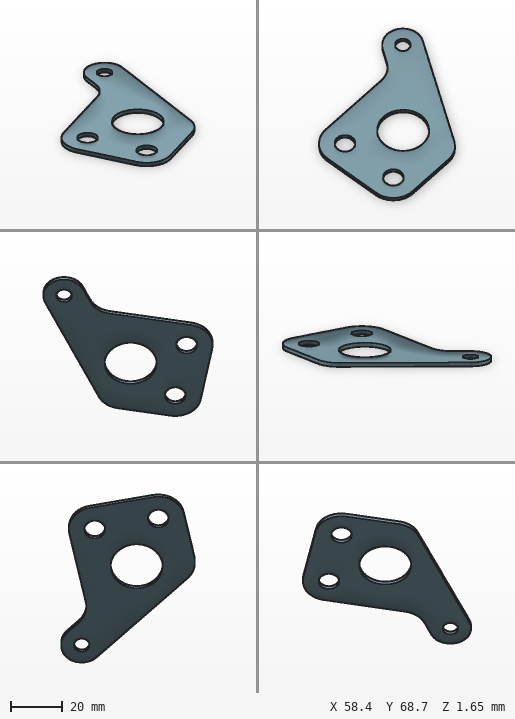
import cadquery as cq
import math

thickness = 1.65
body_width = 45.0
corner_radius = 10.0
bore_diameter = 20.0
mount_hole_diameter = 8.0
mount_hole_y = -19.65
shoulder_y = 0.95
tab_x = -27.9
tab_y = 31.05
tab_radius = 8.0
tab_hole_diameter = 6.0

half_width = body_width / 2
bottom_y = mount_hole_y - corner_radius
corner_x = half_width - corner_radius

shoulder_dx = corner_x - tab_x
shoulder_dy = shoulder_y - tab_y
centre_distance = math.hypot(shoulder_dx, shoulder_dy)
slope_normal = math.atan2(shoulder_dy, shoulder_dx) + math.acos(
    (tab_radius - corner_radius) / centre_distance
)

neck_x = -half_width - corner_radius
neck_y = tab_y - (
    tab_radius + corner_radius + (neck_x - tab_x) * math.cos(slope_normal)
) / math.sin(slope_normal)


def on_circle(x, y, radius, angle):
    """Point on a circle at an angle in radians."""
    return (x + radius * math.cos(angle), y + radius * math.sin(angle))


def corner_middle(x, y, degrees):
    """Middle point of a rounded bottom corner."""
    return on_circle(x, y, corner_radius, math.radians(degrees))


def make_plate():
    def tab_point(angle):
        return on_circle(tab_x, tab_y, tab_radius, angle)

    def shoulder_point(angle):
        return on_circle(corner_x, shoulder_y, corner_radius, angle)

    def neck_point(angle):
        return on_circle(neck_x, neck_y, corner_radius, angle)

    return (
        cq.Workplane("XY")
        .moveTo(-corner_x, bottom_y)
        .lineTo(corner_x, bottom_y)
        .threePointArc(corner_middle(corner_x, mount_hole_y, -45), (half_width, mount_hole_y))
        .lineTo(half_width, shoulder_y)
        .threePointArc(shoulder_point(slope_normal / 2), shoulder_point(slope_normal))
        .lineTo(*tab_point(slope_normal))
        .threePointArc(tab_point(slope_normal + math.pi / 2), tab_point(slope_normal + math.pi))
        .lineTo(*neck_point(slope_normal))
        .threePointArc(neck_point(slope_normal / 2), neck_point(0))
        .lineTo(-half_width, mount_hole_y)
        .threePointArc(corner_middle(-corner_x, mount_hole_y, -135), (-corner_x, bottom_y))
        .close()
        .extrude(thickness)
    )


def hole(x, y, diameter):
    return cq.Workplane("XY").center(x, y).circle(diameter / 2).extrude(thickness)


result = make_plate()
result = result.cut(hole(0, 0, bore_diameter))
result = result.cut(hole(tab_x, tab_y, tab_hole_diameter))
for side in (-1, 1):
    result = result.cut(hole(side * corner_x, mount_hole_y, mount_hole_diameter))